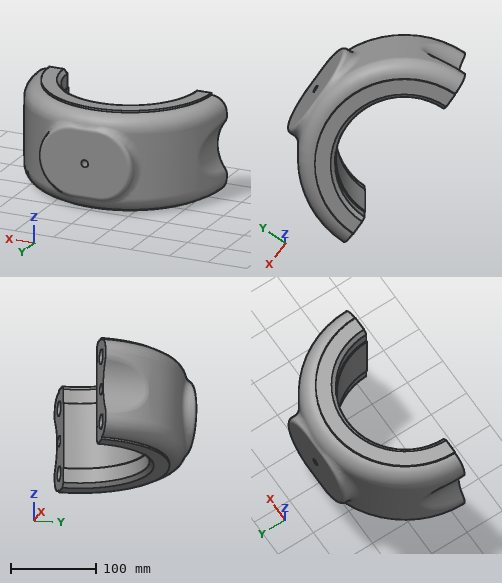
import cadquery as cq
import math

height = 125.0
outer_radius = 125.0
rim_radius = 105.0
rim_step = 2.5
shoulder_radius = outer_radius - rim_radius
bore_radius = 80.0
relief_radius = 81.5
relief_start = 40.0
mouth_chamfer = 5.0
mouth_radius = relief_radius + mouth_chamfer
trim_angle = 10.0

hollow_radius = 50.0
hollow_bottom = 113.0
hollow_edge_fillet = 10.0

pad_face = 127.0
pad_radius = 45.0
pad_length = 120.0
pad_edge_fillet = 5.0
pad_root_fillet = 10.0
pad_base = 95.0

drill_point_angle = 118.0
bolt_offset_x = 102.5
bolt_offset_z = 40.0
bolt_diameter = 17.5
bolt_depth = 37.5
dowel_diameter = 13.0
dowel_depth = 25.0
oil_diameter = 8.8
pin_diameter = 9.8
pin_offset = 25.0
pin_depth = 20.0


def ring_segment():
    """Revolve the wall section a little past half a turn, for trimming later."""
    half = height / 2
    shoulder_top = half - rim_step
    diagonal = shoulder_radius * math.sqrt(0.5)
    shoulder_centre = shoulder_top - shoulder_radius
    upper_mid = (rim_radius + diagonal, shoulder_centre + diagonal)
    lower_mid = (rim_radius + diagonal, -shoulder_centre - diagonal)
    profile = (
        cq.Workplane("XZ")
        .moveTo(bore_radius, -relief_start)
        .lineTo(bore_radius, relief_start)
        .lineTo(relief_radius, relief_start)
        .lineTo(relief_radius, half - mouth_chamfer)
        .lineTo(mouth_radius, half)
        .lineTo(rim_radius, half)
        .lineTo(rim_radius, shoulder_top)
        .threePointArc(upper_mid, (outer_radius, shoulder_centre))
        .lineTo(outer_radius, -shoulder_centre)
        .threePointArc(lower_mid, (rim_radius, -shoulder_top))
        .lineTo(rim_radius, -half)
        .lineTo(mouth_radius, -half)
        .lineTo(relief_radius, -half + mouth_chamfer)
        .lineTo(relief_radius, -relief_start)
        .close()
    )
    segment = profile.revolve(180 + 2 * trim_angle, (0, 0, 0), (0, 1, 0))
    return segment.rotate((0, 0, 0), (0, 0, 1), -trim_angle)


def cut_flank_hollows(body):
    """Scoop out both flanks and round the edge where each hollow meets the ring."""
    axis_x = hollow_bottom + hollow_radius
    cutters = (
        cq.Workplane("XZ", origin=(0, -outer_radius, 0))
        .pushPoints([(-axis_x, 0), (axis_x, 0)])
        .circle(hollow_radius)
        .extrude(-2 * outer_radius)
    )
    return body.cut(cutters).edges("%BSPLINE").fillet(hollow_edge_fillet)


def trim_to_parting_face(body):
    """Remove everything on the -Y side of the parting face."""
    waste = cq.Workplane("XY").box(
        2 * outer_radius, outer_radius, height, centered=(True, False, True)
    )
    return body.cut(waste.translate((0, -outer_radius, 0)))


def add_pad(body):
    """Join the rounded slot-shaped pad and blend its root into the ring."""
    pad = (
        cq.Workplane("XZ", origin=(0, pad_base, 0))
        .slot2D(pad_length, 2 * pad_radius)
        .extrude(-(pad_face - pad_base))
        .faces(">Y")
        .edges()
        .fillet(pad_edge_fillet)
    )
    joined = body.union(pad)
    root = joined.edges("%BSPLINE").filter(lambda edge: edge.Center().y > rim_radius)
    return joined.newObject(root.vals()).fillet(pad_root_fillet)


def drill(x, y, z, diameter, depth):
    """Blind drill along +Y with a conical point; depth is that of the full diameter."""
    radius = diameter / 2
    point_length = radius / math.tan(math.radians(drill_point_angle / 2))
    profile = (
        cq.Workplane("XY")
        .lineTo(radius, 0)
        .lineTo(radius, depth)
        .lineTo(0, depth + point_length)
        .close()
    )
    return profile.revolve(360, (0, 0, 0), (0, 1, 0)).translate((x, y, z))


def drill_parting_face(body):
    """Two bolt holes and one dowel hole in each parting face."""
    for x in (-bolt_offset_x, bolt_offset_x):
        for z in (-bolt_offset_z, bolt_offset_z):
            body = body.cut(drill(x, 0, z, bolt_diameter, bolt_depth))
        body = body.cut(drill(x, 0, 0, dowel_diameter, dowel_depth))
    return body


def drill_bore(body):
    """One oil hole through the pad, with a blind pin hole on either side of it."""
    oil_hole = cq.Workplane("XZ").circle(oil_diameter / 2).extrude(-pad_face)
    body = body.cut(oil_hole)
    bore_entry = bore_radius - pin_diameter / 2
    full_depth = pin_depth + bore_radius - bore_entry
    for z in (-pin_offset, pin_offset):
        body = body.cut(drill(0, bore_entry, z, pin_diameter, full_depth))
    return body


ring = trim_to_parting_face(cut_flank_hollows(ring_segment()))
padded_ring = add_pad(ring)
result = drill_bore(drill_parting_face(padded_ring))